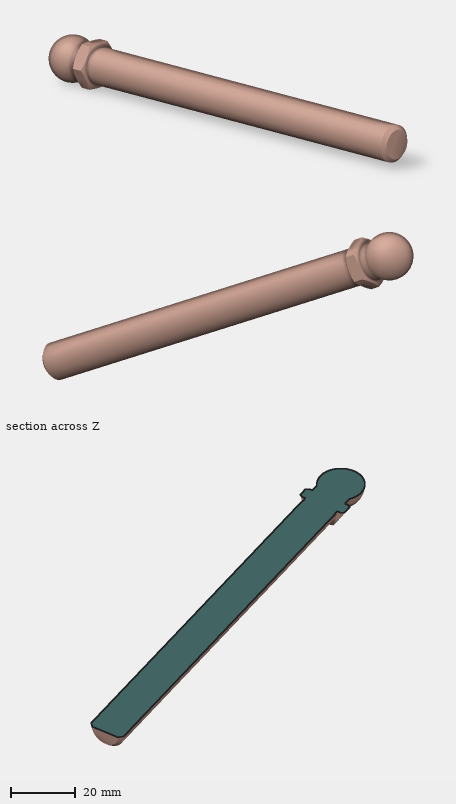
import cadquery as cq
import math

total_length = 144.0
ball_diameter = 15.0
shaft_diameter = 12.0
end_chamfer = 1.3

hex_sides = 6
hex_start = 14.4
hex_width = 4.5
hex_across_flats = 14.0
hex_chamfer_angle = 30.0

relief_diameter = 11.7
relief_width = 1.2

ball_radius = ball_diameter / 2
shaft_radius = shaft_diameter / 2
relief_radius = relief_diameter / 2
hex_end = hex_start + hex_width
relief_end = hex_end + relief_width
ball_neck_x = ball_radius + math.sqrt(ball_radius**2 - shaft_radius**2)


def make_ball_and_shaft():
    """Revolve the ball, neck, relief and chamfered shaft about X."""
    return (
        cq.Workplane("XY")
        .moveTo(0, 0)
        .threePointArc((ball_radius, ball_radius), (ball_neck_x, shaft_radius))
        .lineTo(hex_end, shaft_radius)
        .lineTo(hex_end, relief_radius)
        .lineTo(relief_end, relief_radius)
        .lineTo(relief_end, shaft_radius)
        .lineTo(total_length - end_chamfer, shaft_radius)
        .lineTo(total_length, shaft_radius - end_chamfer)
        .lineTo(total_length, 0)
        .close()
        .revolve(360, (0, 0, 0), (1, 0, 0))
    )


def make_hex_collar():
    """Make a hexagon with corners on +Y and -Y, coned at both ends."""
    flat_radius = hex_across_flats / 2
    corner_radius = flat_radius / math.cos(math.pi / hex_sides)
    chamfer_width = (corner_radius - flat_radius) * math.tan(math.radians(hex_chamfer_angle))
    prism = (
        cq.Workplane("YZ", origin=(hex_start, 0, 0))
        .polygon(hex_sides, 2 * corner_radius)
        .extrude(hex_width)
    )
    envelope = (
        cq.Workplane("XY")
        .moveTo(hex_start, 0)
        .lineTo(hex_start, flat_radius)
        .lineTo(hex_start + chamfer_width, corner_radius)
        .lineTo(hex_end - chamfer_width, corner_radius)
        .lineTo(hex_end, flat_radius)
        .lineTo(hex_end, 0)
        .close()
        .revolve(360, (0, 0, 0), (1, 0, 0))
    )
    return prism.intersect(envelope)


result = make_ball_and_shaft().union(make_hex_collar())